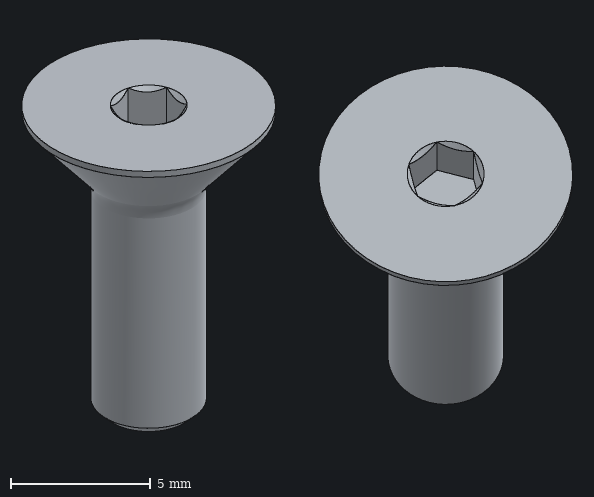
import cadquery as cq
import math

total_length = 12.7
head_diameter = 9.12
shank_diameter = 4.17

rim_height = 0.25
cone_half_angle = 40.8
neck_radius = 1.03

tip_chamfer = 0.38

socket_across_flats = 2.39
socket_depth = 1.9
socket_lead_in_angle = 45.0

head_radius = head_diameter / 2
shank_radius = shank_diameter / 2
socket_corner_radius = socket_across_flats / math.sqrt(3)


def make_body():
    """Revolve the head, neck and chamfered shank about Z, top face at Z = 0."""
    slope = math.radians(cone_half_angle)
    neck_top_radius = shank_radius + neck_radius * (1 - math.cos(slope))
    neck_top_depth = rim_height + (head_radius - neck_top_radius) / math.tan(slope)
    neck_bottom_depth = neck_top_depth + neck_radius * math.sin(slope)
    arc_middle = (
        shank_radius + neck_radius * (1 - math.cos(slope / 2)),
        -neck_bottom_depth + neck_radius * math.sin(slope / 2),
    )
    return (
        cq.Workplane("XZ")
        .lineTo(head_radius, 0)
        .lineTo(head_radius, -rim_height)
        .lineTo(neck_top_radius, -neck_top_depth)
        .threePointArc(arc_middle, (shank_radius, -neck_bottom_depth))
        .lineTo(shank_radius, -total_length + tip_chamfer)
        .lineTo(shank_radius - tip_chamfer, -total_length)
        .lineTo(0, -total_length)
        .close()
        .revolve(360, (0, 0, 0), (0, 1, 0))
    )


def make_socket():
    """Hexagonal pocket with a conical lead-in through the hexagon corners."""
    hexagon = (
        cq.Workplane("XY")
        .polygon(6, 2 * socket_corner_radius)
        .extrude(-socket_depth)
        .rotate((0, 0, 0), (0, 0, 1), 90)
    )
    lead_in_depth = socket_corner_radius * math.tan(math.radians(socket_lead_in_angle))
    lead_in = (
        cq.Workplane("XZ")
        .lineTo(socket_corner_radius, 0)
        .lineTo(0, -lead_in_depth)
        .close()
        .revolve(360, (0, 0, 0), (0, 1, 0))
    )
    return hexagon.union(lead_in)


result = make_body().cut(make_socket())